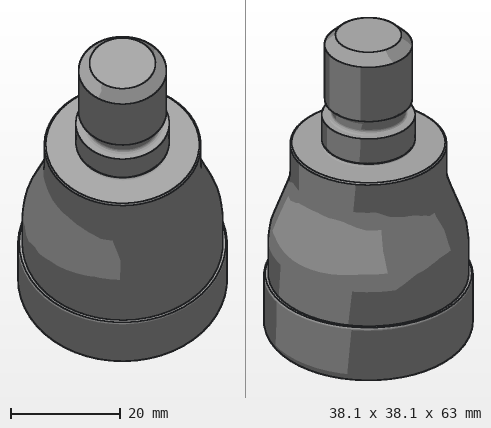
import cadquery as cq
import math


cutter_radius = 38.1 / 2
cutter_height = 12.0
cutter_corner_radius = 2.0
rim_width = 0.27
rim_height = 0.5

total_height = 63.0
head_top = 40.0
lower_radius = 18.25
upper_radius = 14.25
cone_angle = math.radians(20)
blend_radius = 10.0
lower_cylinder_top = 19.25
head_chamfer = 0.3

collar_radius = 8.5
collar_height = 6.0
collar_chamfer = 0.35
relief_fillet = 0.4

thread_radius = 8.0
thread_chamfer = 2.0
undercut_radius = 6.65
undercut_fillet = 0.8
flare_fillet = 0.5
flare_angle = math.radians(50)
undercut_length = 3.4

quarter_arc_inset = 1 - math.sqrt(0.5)


def make_cutter():
    rim_radius = (rim_width**2 + rim_height**2) / (2 * rim_width)
    half_rim_angle = math.asin(rim_height / rim_radius) / 2
    rim_bottom = cutter_height - rim_height
    rim_mid = (
        cutter_radius - rim_radius * (1 - math.cos(half_rim_angle)),
        rim_bottom + rim_radius * math.sin(half_rim_angle),
    )
    profile = (
        cq.Workplane("XZ")
        .lineTo(cutter_radius, 0)
        .lineTo(cutter_radius, rim_bottom)
        .threePointArc(rim_mid, (cutter_radius - rim_width, cutter_height))
        .lineTo(0, cutter_height)
        .close()
    )
    ring = profile.revolve(360, (0, 0, 0), (0, 1, 0))
    return ring.faces("<Z").edges().fillet(cutter_corner_radius)


def make_shank_body():
    blend_height = blend_radius * math.sin(cone_angle)
    blend_step = blend_radius * (1 - math.cos(cone_angle))
    half_height = blend_radius * math.sin(cone_angle / 2)
    half_step = blend_radius * (1 - math.cos(cone_angle / 2))
    cone_run = lower_radius - upper_radius - 2 * blend_step
    cone_bottom = lower_cylinder_top + blend_height
    cone_top = cone_bottom + cone_run / math.tan(cone_angle)
    upper_cylinder_bottom = cone_top + blend_height

    relief_radius = collar_radius - collar_chamfer
    relief_top = head_top + relief_fillet
    relief_arc_offset = relief_fillet * quarter_arc_inset

    collar_top = head_top + collar_height
    undercut_bottom = collar_top + undercut_fillet
    undercut_arc_offset = undercut_fillet * quarter_arc_inset
    thread_bottom = collar_top + undercut_length
    flare_step = flare_fillet * (1 - math.cos(flare_angle))
    flare_height = flare_fillet * math.sin(flare_angle)
    flare_radius = undercut_radius + flare_step
    flare_top = thread_bottom - (thread_radius - flare_radius) / math.tan(flare_angle)
    flare_bottom = flare_top - flare_height
    flare_mid = (
        undercut_radius + flare_fillet * (1 - math.cos(flare_angle / 2)),
        flare_bottom + flare_fillet * math.sin(flare_angle / 2),
    )

    profile = (
        cq.Workplane("XZ")
        .moveTo(0, cutter_height)
        .lineTo(lower_radius, cutter_height)
        .lineTo(lower_radius, lower_cylinder_top)
        .threePointArc(
            (lower_radius - half_step, lower_cylinder_top + half_height),
            (lower_radius - blend_step, cone_bottom),
        )
        .lineTo(upper_radius + blend_step, cone_top)
        .threePointArc(
            (upper_radius + half_step, upper_cylinder_bottom - half_height),
            (upper_radius, upper_cylinder_bottom),
        )
        .lineTo(upper_radius, head_top - head_chamfer)
        .lineTo(upper_radius - head_chamfer, head_top)
        .lineTo(relief_radius + relief_fillet, head_top)
        .threePointArc(
            (relief_radius + relief_arc_offset, head_top + relief_arc_offset),
            (relief_radius, relief_top),
        )
        .lineTo(collar_radius, relief_top + collar_chamfer)
        .lineTo(collar_radius, collar_top)
        .lineTo(undercut_radius + undercut_fillet, collar_top)
        .threePointArc(
            (undercut_radius + undercut_arc_offset, collar_top + undercut_arc_offset),
            (undercut_radius, undercut_bottom),
        )
        .lineTo(undercut_radius, flare_bottom)
        .threePointArc(flare_mid, (flare_radius, flare_top))
        .lineTo(thread_radius, thread_bottom)
        .lineTo(thread_radius, total_height - thread_chamfer)
        .lineTo(thread_radius - thread_chamfer, total_height)
        .lineTo(0, total_height)
        .close()
    )
    return profile.revolve(360, (0, 0, 0), (0, 1, 0))


cutter = make_cutter()
shank_body = make_shank_body()

result = cq.Compound.makeCompound([cutter.val(), shank_body.val()])